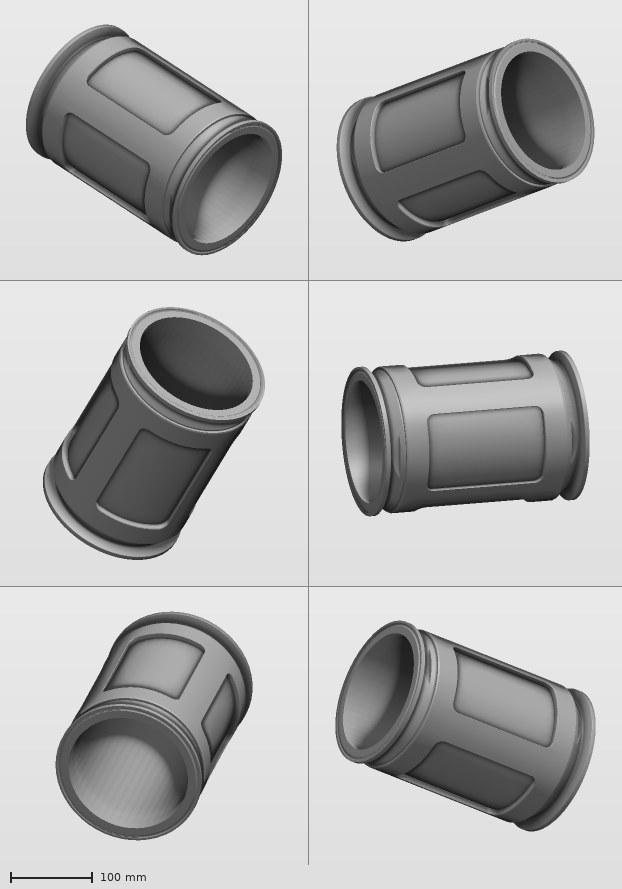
import cadquery as cq
import math


length = 260.0
bore_radius = 75.1
glass_radius = 82.5
guard_radius = 90.0

rim_radius = 91.5
rim_width = 5.5
rim_edge_fillet = 1.0
neck_radius = 79.0
neck_end = 12.0
neck_fillet = 2.0
clamp_angle = 20.0
shoulder_angle = 30.0
shoulder_end = 24.7
flat_offset = 79.0
flat_end = 20.3
spigot_end = 35.0

groove_mean_radius = 86.8
groove_width = 3.6
groove_depth = 1.3
groove_lip_fillet = 0.5

outer_seal_width = 1.8
bore_seal_width = 1.0

window_count = 4
window_length = 148.7
window_width = 95.7
window_corner_radius = 10.0
window_lip_chamfer = 0.8
guard_end_chamfer_length = 1.8
guard_end_chamfer_depth = 0.8

tolerance = 0.03

half_length = length / 2
shoulder_radius = neck_radius + (shoulder_end - neck_end) * math.tan(math.radians(shoulder_angle))
guard_half_length = half_length - shoulder_end - outer_seal_width
glass_half_length = half_length - spigot_end - bore_seal_width


def revolve_about_x(profile):
    """Revolve a closed (x, radius) profile around the X axis."""
    return profile.revolve(360, (0, 0, 0), (1, 0, 0))


def make_tube(start, width, inner_radius, outer_radius):
    """Plain tube along X that starts at the given place."""
    return (
        cq.Workplane("YZ", origin=(start, 0, 0))
        .circle(outer_radius)
        .circle(inner_radius)
        .extrude(width)
    )


def mirrored(body):
    """The same body at the +X end."""
    return body.mirror("YZ")


def circles_at(body, x, radius):
    """Circular edges around the X axis with the given place and radius."""
    return [
        edge
        for edge in body.edges("%CIRCLE").vals()
        if abs(edge.Center().x - x) < tolerance and abs(edge.radius() - radius) < tolerance
    ]


def make_ferrule():
    """Ferrule at the -X end."""
    face = -half_length
    rim_back = face + rim_width
    neck_start = rim_back + (rim_radius - neck_radius) * math.tan(math.radians(clamp_angle))
    body = revolve_about_x(
        cq.Workplane("XY")
        .moveTo(face, bore_radius)
        .lineTo(face, rim_radius)
        .lineTo(rim_back, rim_radius)
        .lineTo(neck_start, neck_radius)
        .lineTo(face + neck_end, neck_radius)
        .lineTo(face + shoulder_end, shoulder_radius)
        .lineTo(face + shoulder_end, glass_radius)
        .lineTo(face + spigot_end, glass_radius)
        .lineTo(face + spigot_end, bore_radius)
        .close()
    )
    body = body.newObject(circles_at(body, rim_back, rim_radius)).fillet(rim_edge_fillet)
    body = body.newObject(circles_at(body, neck_start, neck_radius)).fillet(neck_fillet)
    body = body.cut(make_face_groove())
    for side in (-1, 1):
        lip_radius = groove_mean_radius + side * groove_width / 2
        body = body.newObject(circles_at(body, face, lip_radius)).fillet(groove_lip_fillet)
    return cut_flats(body)


def make_face_groove():
    """Round-bottomed ring groove cut into the end face."""
    face = -half_length
    return revolve_about_x(
        cq.Workplane("XY")
        .moveTo(face, groove_mean_radius - groove_width / 2)
        .threePointArc(
            (face + groove_depth, groove_mean_radius),
            (face, groove_mean_radius + groove_width / 2),
        )
        .close()
    )


def cut_flats(ferrule):
    """Two spanner flats across Y, cut into the shoulder cone."""
    cut_depth = shoulder_radius - flat_offset
    for side in (-1, 1):
        cutter = cq.Workplane("XY").box(flat_end - neck_end, cut_depth, 2 * rim_radius).translate(
            (-half_length + (neck_end + flat_end) / 2, side * (flat_offset + cut_depth / 2), 0)
        )
        ferrule = ferrule.cut(cutter)
    return ferrule


def make_guard():
    """Sleeve around the glass with evenly spaced rounded windows and chamfered ends."""
    end = guard_half_length
    chamfer_start = end - guard_end_chamfer_length
    end_radius = guard_radius - guard_end_chamfer_depth
    guard = revolve_about_x(
        cq.Workplane("XY").polyline([
            (-end, glass_radius),
            (-end, end_radius),
            (-chamfer_start, guard_radius),
            (chamfer_start, guard_radius),
            (end, end_radius),
            (end, glass_radius),
        ]).close()
    )
    window = (
        cq.Workplane("XY")
        .rect(window_length, window_width)
        .extrude(rim_radius)
        .edges("|Z")
        .fillet(window_corner_radius)
    )
    for index in range(window_count):
        guard = guard.cut(window.rotate((0, 0, 0), (1, 0, 0), index * 360 / window_count))
    return chamfer_window_lips(guard)


def chamfer_window_lips(guard):
    """Break the outer edge of every window."""

    def lies_on_outside(edge):
        points = [edge.positionAt(fraction) for fraction in (0, 0.5, 1)]
        return all(math.hypot(point.y, point.z) > guard_radius - tolerance for point in points)

    def lies_at_window(edge):
        box = edge.BoundingBox()
        return max(abs(box.xmin), abs(box.xmax)) < window_length / 2 + tolerance

    lips = [edge for edge in guard.edges().vals() if lies_on_outside(edge) and lies_at_window(edge)]
    return guard.newObject(lips).chamfer(window_lip_chamfer)


ferrule = make_ferrule()
guard = make_guard()
glass = make_tube(-glass_half_length, 2 * glass_half_length, bore_radius, glass_radius)
outer_seal = make_tube(-half_length + shoulder_end, outer_seal_width, glass_radius, shoulder_radius)
bore_seal = make_tube(-half_length + spigot_end, bore_seal_width, bore_radius, glass_radius)

result = cq.Compound.makeCompound([
    guard.val(),
    glass.val(),
    *[body.val() for part in (ferrule, outer_seal, bore_seal) for body in (part, mirrored(part))],
])